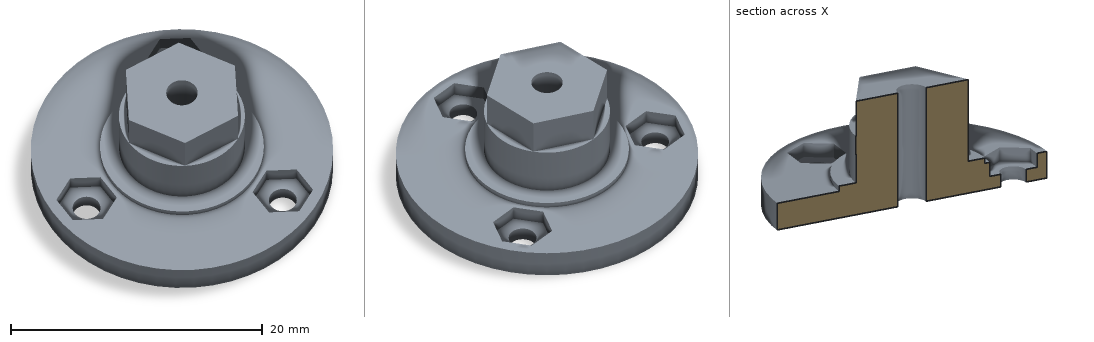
import cadquery as cq

flange_diameter = 24
flange_height = 2.33
collar_diameter = 13.0
collar_height = 0.45
hub_diameter = 10.0
hub_height = 4.0
hex_height = 3.0
total_height = flange_height + collar_height + hub_height + hex_height

bore_diameter = 2.5
bolt_hole_diameter = 2.2
bolt_circle_radius = 9.0
bolt_count = 3
first_bolt_angle = 30

nut_corner_diameter = 4.8
nut_pocket_depth = 1.2


def cylinder(diameter, bottom, height):
    return cq.Workplane("XY").workplane(offset=bottom).circle(diameter / 2).extrude(height)


def hexagon(corner_diameter, bottom, height):
    """Hexagonal prism on the Z axis with two corners on the X axis."""
    return cq.Workplane("XY").workplane(offset=bottom).polygon(6, corner_diameter).extrude(height)


def make_body():
    collar_top = flange_height + collar_height
    hub_top = collar_top + hub_height
    drive_hexagon = hexagon(hub_diameter, hub_top, hex_height).rotate((0, 0, 0), (0, 0, 1), 90)
    return (
        cylinder(flange_diameter, 0, flange_height)
        .union(cylinder(collar_diameter, flange_height, collar_height))
        .union(cylinder(hub_diameter, collar_top, hub_height))
        .union(drive_hexagon)
    )


def cut_bolt_holes(body):
    """Cut the through holes and their nut pockets, all pockets facing the same way."""
    pocket_floor = flange_height - nut_pocket_depth
    cutter = cylinder(bolt_hole_diameter, 0, flange_height).union(
        hexagon(nut_corner_diameter, pocket_floor, nut_pocket_depth)
    )
    positions = cq.Workplane("XY").polarArray(bolt_circle_radius, first_bolt_angle, 360, bolt_count).vals()
    for position in positions:
        x, y, _ = position.toTuple()[0]
        body = body.cut(cutter.translate((x, y, 0)))
    return body


body = make_body().cut(cylinder(bore_diameter, 0, total_height))
result = cut_bolt_holes(body)